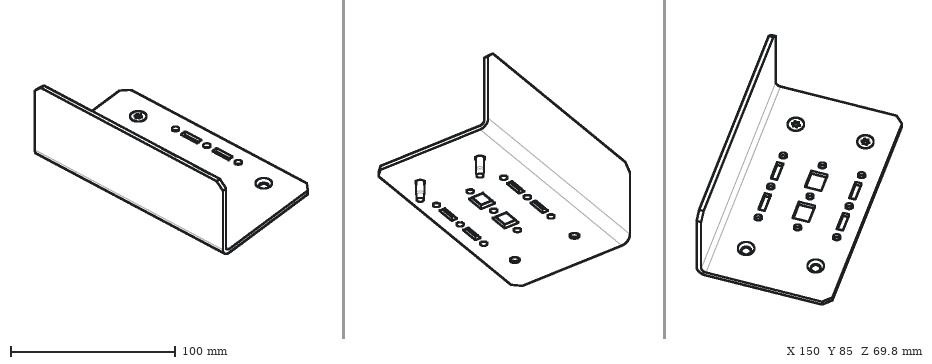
import cadquery as cq
import math

width = 150.0
depth = 85.0
wall_height = 57.0
thickness = 3.0
inner_bend_radius = 3.0
outer_bend_radius = inner_bend_radius + thickness
corner_cut = 5.0

grid_pitch = width / 6
grid_center_y = 48.6
hole_diameter = 4.5
window_length = 12.9
narrow_window_width = 3.9
wide_window_width = 10.4

seat_x = width / 3
seat_rows_y = (23.7, 68.1)
seat_bore_diameter = 6.0
head_diameter = 10.0

rim_height = 0.25
shank_diameter = 5.0
tip_diameter = 4.8
end_diameter = 4.4
shank_end_z = -7.8
tip_start_z = -9.3
screw_end_z = -12.8
socket_depth = 1.5
lobe_count = 6
lobe_tip_radius = 2.4
lobe_valley_radius = 1.6


def cone_depth(large_diameter, small_diameter):
    """Height of a 90 degree cone between two diameters."""
    return (large_diameter - small_diameter) / 2


def folded_sheet():
    """L-shaped section with a rounded fold, extruded over the full width."""
    return (
        cq.Workplane("YZ")
        .moveTo(depth, 0)
        .lineTo(depth, thickness)
        .lineTo(outer_bend_radius, thickness)
        .radiusArc((thickness, outer_bend_radius), inner_bend_radius)
        .lineTo(thickness, wall_height)
        .lineTo(0, wall_height)
        .lineTo(0, outer_bend_radius)
        .radiusArc((outer_bend_radius, 0), -outer_bend_radius)
        .close()
        .extrude(width / 2, both=True)
    )


def cut_free_corners(sheet):
    """Bevel the two top corners of the wall and the two back corners of the base."""
    sheet = sheet.faces(">Z").edges("|Y").chamfer(corner_cut)
    return sheet.faces(">Y").edges("|Z").chamfer(corner_cut)


def cut_hole_grid(sheet):
    """Three rows of three round holes through the base."""
    holes = (
        cq.Workplane("XY")
        .center(0, grid_center_y)
        .rarray(grid_pitch, grid_pitch, 3, 3)
        .circle(hole_diameter / 2)
        .extrude(thickness)
    )
    return sheet.cut(holes)


def cut_windows(sheet):
    """Two windows per hole row: narrow in the outer rows, wide in the middle row."""
    row_widths = (narrow_window_width, wide_window_width, narrow_window_width)
    for row, window_width in enumerate(row_widths):
        row_y = grid_center_y + (row - 1) * grid_pitch
        windows = (
            cq.Workplane("XY")
            .pushPoints([(-grid_pitch / 2, row_y), (grid_pitch / 2, row_y)])
            .rect(window_length, window_width)
            .extrude(thickness)
        )
        sheet = sheet.cut(windows)
    return sheet


def cut_screw_seats(sheet):
    """Four countersunk through holes, open to the upper face of the base."""
    bore_radius = seat_bore_diameter / 2
    cone_start_z = thickness - cone_depth(head_diameter, seat_bore_diameter)
    seat = (
        cq.Workplane("XZ")
        .polyline([
            (0, 0),
            (bore_radius, 0),
            (bore_radius, cone_start_z),
            (head_diameter / 2, thickness),
            (0, thickness),
        ])
        .close()
        .revolve(360, (0, 0), (0, 1))
    )
    for x in (-seat_x, seat_x):
        for y in seat_rows_y:
            sheet = sheet.cut(seat.translate((x, y, 0)))
    return sheet


def make_angle_plate():
    sheet = cut_free_corners(folded_sheet())
    sheet = cut_hole_grid(sheet)
    sheet = cut_windows(sheet)
    return cut_screw_seats(sheet)


def make_socket():
    """Six-lobed drive recess, with one lobe pointing along +Y."""
    points = []
    for step in range(2 * lobe_count):
        radius = lobe_tip_radius if step % 2 == 0 else lobe_valley_radius
        angle = math.pi / 2 + step * math.pi / lobe_count
        points.append((radius * math.cos(angle), radius * math.sin(angle)))
    outline = cq.Workplane("XY").workplane(offset=thickness + rim_height - socket_depth)
    return outline.spline(points, periodic=True).close().extrude(socket_depth)


def make_screw(x, y):
    """Countersunk screw whose conical head rests in a seat of the base."""
    cone_end_z = thickness - cone_depth(head_diameter, shank_diameter)
    body = (
        cq.Workplane("XZ")
        .polyline([
            (0, screw_end_z),
            (end_diameter / 2, screw_end_z),
            (tip_diameter / 2, tip_start_z),
            (shank_diameter / 2, shank_end_z),
            (shank_diameter / 2, cone_end_z),
            (head_diameter / 2, thickness),
            (head_diameter / 2, thickness + rim_height),
            (0, thickness + rim_height),
        ])
        .close()
        .revolve(360, (0, 0), (0, 1))
    )
    return body.cut(make_socket()).translate((x, y, 0))


angle_plate = make_angle_plate()
screws = [make_screw(-seat_x, y) for y in seat_rows_y]

result = cq.Compound.makeCompound([angle_plate.val(), *[screw.val() for screw in screws]])